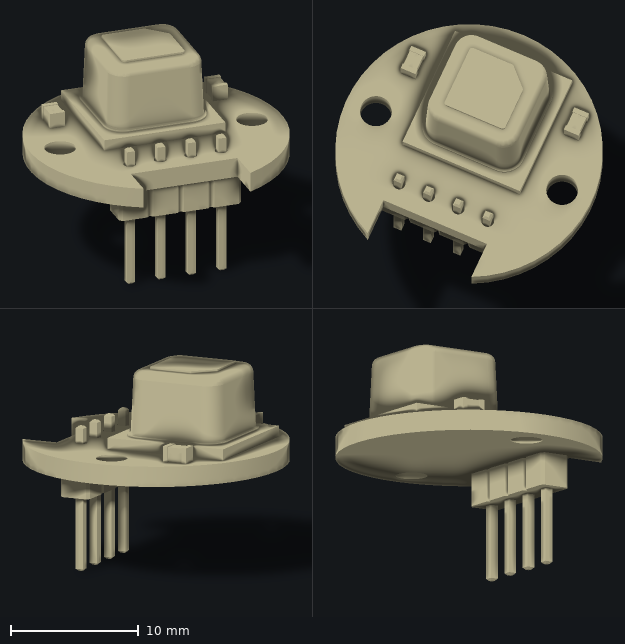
import cadquery as cq
import math

board_radius = 10.48
board_thickness = 1.61
notch_floor_x = 6.5
notch_width = 8.89
mount_hole_diameter = 2.5
mount_hole_y = 7.99

pin_count = 4
pin_pitch = 2.54
pin_width = 0.65
pin_tip_chamfer = 0.17
pin_bottom_z = -8.61
pin_top_z = 2.98
pin_hole_diameter = 1.0
header_x = 4.72
header_y = -0.08
header_height = 2.6
header_corner_chamfer = 0.25

sensor_x = -3.3
sensor_y = 0.1
plate_clearance = 0.05
plate_side = 10.06
plate_top_z = 2.54
flange_side = 8.49
flange_thickness = 0.13
cap_base_side = 8.05
cap_top_z = 7.78
cap_draft_angle = 2.0
cap_corner_radius = 1.38
cap_top_radius = 0.65
cap_foot_radius = 0.13
pad_side = 5.2
pad_height = 0.19
pad_corner_radius = 0.25
pad_key_chamfer = 1.55

capacitor_length = 2.01
capacitor_side = 1.25
terminal_length = 0.4
core_inset = 0.06
capacitor_centres = [(-5.25, 6.87), (-4.67, -6.87)]

pin_centres = [
    (header_x, header_y + (index - (pin_count - 1) / 2) * pin_pitch) for index in range(pin_count)
]
flange_top_z = plate_top_z + flange_thickness
flange_corner_radius = cap_corner_radius + (flange_side - cap_base_side) / 2


def make_block(length, width, bottom_z, top_z):
    """Box centred on the Z axis between two heights."""
    return cq.Workplane("XY").workplane(offset=bottom_z).rect(length, width).extrude(top_z - bottom_z)


def make_board():
    half_notch = notch_width / 2
    notch_mouth_x = math.sqrt(board_radius**2 - half_notch**2)
    outline = (
        cq.Workplane("XY")
        .moveTo(notch_mouth_x, half_notch)
        .threePointArc((-board_radius, 0), (notch_mouth_x, -half_notch))
        .lineTo(notch_floor_x, -half_notch)
        .lineTo(notch_floor_x, half_notch)
        .close()
    )
    board = outline.extrude(board_thickness)
    mount_holes = (
        cq.Workplane("XY")
        .pushPoints([(0, mount_hole_y), (0, -mount_hole_y)])
        .circle(mount_hole_diameter / 2)
        .extrude(board_thickness)
    )
    pin_holes = (
        cq.Workplane("XY").pushPoints(pin_centres).circle(pin_hole_diameter / 2).extrude(board_thickness)
    )
    return board.cut(mount_holes).cut(pin_holes)


def make_header():
    """Row of joined eight-sided housings, each carrying one square pin."""
    housing = make_block(pin_pitch, pin_pitch, -header_height, 0).edges("|Z").chamfer(header_corner_chamfer)
    pin = make_block(pin_width, pin_width, pin_bottom_z, pin_top_z)
    pin = pin.faces("<Z or >Z").chamfer(pin_tip_chamfer)
    position = housing.union(pin)
    header = cq.Workplane("XY")
    for x, y in pin_centres:
        header = header.union(position.translate((x, y, 0)))
    return header


def make_cap():
    return (
        cq.Workplane("XY")
        .workplane(offset=flange_top_z)
        .rect(cap_base_side, cap_base_side)
        .extrude(cap_top_z - flange_top_z, taper=cap_draft_angle)
        .edges("not(#Z)")
        .fillet(cap_corner_radius)
        .faces(">Z")
        .edges()
        .fillet(cap_top_radius)
    )


def make_pad():
    """Raised pad on the cap; the large chamfer marks its (-X, +Y) corner."""
    pad = make_block(pad_side, pad_side, cap_top_z, cap_top_z + pad_height)
    pad = pad.edges("|Z").edges("<X and >Y").chamfer(pad_key_chamfer)
    return pad.edges("|Z").edges(">X or <Y").fillet(pad_corner_radius)


def make_sensor():
    plate_bottom_z = board_thickness + plate_clearance
    plate = make_block(plate_side, plate_side, plate_bottom_z, plate_top_z)
    flange = make_block(flange_side, flange_side, plate_top_z, flange_top_z)
    flange = flange.edges("|Z").fillet(flange_corner_radius)
    body = flange.union(make_cap())
    foot_reach = (cap_base_side + flange_side) / 4
    foot_zone = cq.selectors.BoxSelector(
        (-foot_reach, -foot_reach, flange_top_z - flange_thickness / 2),
        (foot_reach, foot_reach, flange_top_z + flange_thickness / 2),
    )
    body = body.edges("|X or |Y").edges(foot_zone).fillet(cap_foot_radius)
    return plate.union(body).union(make_pad()).translate((sensor_x, sensor_y, 0))


def make_capacitor(x, y):
    top_z = board_thickness + capacitor_side
    core_side = capacitor_side - 2 * core_inset
    capacitor = make_block(
        capacitor_length - terminal_length, core_side, board_thickness + core_inset, top_z - core_inset
    )
    terminal = make_block(terminal_length, capacitor_side, board_thickness, top_z)
    terminal_offset = (capacitor_length - terminal_length) / 2
    for side in (-1, 1):
        capacitor = capacitor.union(terminal.translate((side * terminal_offset, 0, 0)))
    return capacitor.translate((x, y, 0))


board = make_board()
header = make_header()
sensor = make_sensor()
capacitors = [make_capacitor(x, y) for x, y in capacitor_centres]

result = cq.Compound.makeCompound(
    [board.val(), header.val(), sensor.val(), *[capacitor.val() for capacitor in capacitors]]
)